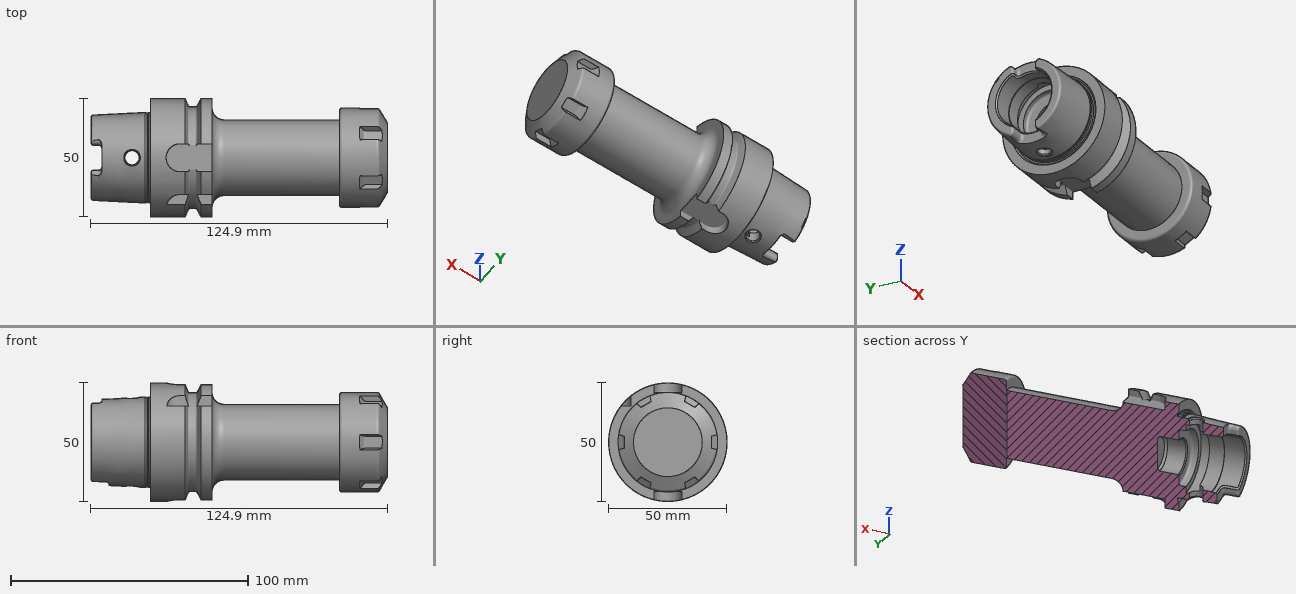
import cadquery as cq
import math


shank_length = 25.0
gauge_radius = 19.1
taper_slope = 0.05
tip_edge_radius = 1.0

relief_start = -2.2
relief_bottom_start = -1.5
relief_bottom_end = -1.1
relief_end = -0.5
relief_drop = 0.2
face_recess_depth = 0.7
face_recess_radius = 20.6

mouth_radius = 13.2
mouth_length = 10.0
mouth_chamfer = 0.6
bore_radius = 13.0
bore_depth = 25.0
clamp_groove_radius = 15.7
clamp_groove_start = 16.9
clamp_groove_end = 21.9
bore_floor_fillet = 1.1
thread_radius = 8.0
thread_depth = 10.0
thread_chamfer = 0.5
thread_floor_chamfer = 1.0

cross_hole_x = -7.7
cross_hole_radius = 3.0
cross_hole_chamfer = 0.5

drive_half_width = 5.2
upper_drive_depth = 4.5
lower_drive_depth = 7.5
drive_floor_fillet = 1.4
drive_flare_radius = 2.0

flange_radius = 25.0
flange_length = 26.0
groove_bottom_radius = 21.5
groove_top_start = 14.6
groove_bottom_start = 16.1
groove_bottom_end = 19.5
groove_top_end = 21.4
groove_root_fillet = 0.6

keyway_width = 11.7
keyway_floor_fillet = 0.4
keyway_start = 6.6
keyway_floor = 20.9
notch_wall = 15.5
notch_floor = 15.2

neck_radius = 16.0
neck_fillet = 5.0

nut_start = 79.5
nut_end = 99.9
nut_radius = 21.0
nut_rear_fillet = 1.2
nut_cone_length = 3.7
nut_cone_angle = 60.0
nut_front_fillet = 1.4

spanner_slot_count = 6
spanner_slot_start = 88.0
spanner_floor_radius = 18.4
spanner_floor_half_width = 2.5
spanner_mouth_half_width = 3.2
spanner_back_angle = 50.0
spanner_back_fillet = 1.5

clearance = 6.2
margin = 0.1


def taper_radius(x):
    """Radius of the shank taper at an axial position."""
    return gauge_radius + taper_slope * (x - relief_start)


def turned(profile):
    """Revolve a closed half profile about the X axis."""
    return profile.close().revolve(360, (0, 0, 0), (1, 0, 0))


def axial_band(start, end, radius):
    """Selector of the edges that lie wholly between two axial positions and within a radius."""
    reach = radius + margin
    return cq.selectors.BoxSelector(
        (start - margin, -reach, -reach), (end + margin, reach, reach), boundingbox=True
    )


def turned_blank():
    """Outer shape of the holder as one turned solid, without any bore or slot."""
    tip = -shank_length
    relief_radius = gauge_radius - relief_drop
    profile = (
        cq.Workplane("XY")
        .moveTo(tip, 0)
        .lineTo(tip, taper_radius(tip))
        .lineTo(relief_start, gauge_radius)
        .lineTo(relief_bottom_start, relief_radius)
        .lineTo(relief_bottom_end, relief_radius)
        .lineTo(relief_end, gauge_radius)
        .lineTo(face_recess_depth, gauge_radius)
        .lineTo(face_recess_depth, face_recess_radius - face_recess_depth)
        .lineTo(0, face_recess_radius)
        .lineTo(0, flange_radius)
        .lineTo(groove_top_start, flange_radius)
        .lineTo(groove_bottom_start, groove_bottom_radius)
        .lineTo(groove_bottom_end, groove_bottom_radius)
        .lineTo(groove_top_end, flange_radius)
        .lineTo(flange_length, flange_radius)
        .lineTo(flange_length, neck_radius + neck_fillet)
        .radiusArc((flange_length + neck_fillet, neck_radius), -neck_fillet)
        .lineTo(nut_start, neck_radius)
        .lineTo(nut_start, 0)
    )
    groove_roots = axial_band(groove_bottom_start, groove_bottom_end, groove_bottom_radius)
    return turned(profile).edges(groove_roots).fillet(groove_root_fillet)


def shank_bore():
    """Stepped bore of the shank with the blind threaded hole in its floor."""
    tip = -shank_length
    floor = tip + bore_depth
    thread_floor = floor + thread_depth
    profile = (
        cq.Workplane("XY")
        .moveTo(tip, 0)
        .lineTo(tip, mouth_radius)
        .lineTo(tip + mouth_length, mouth_radius)
        .lineTo(tip + mouth_length, bore_radius)
        .lineTo(tip + clamp_groove_start, bore_radius)
        .lineTo(tip + clamp_groove_start, clamp_groove_radius)
        .lineTo(tip + clamp_groove_end, clamp_groove_radius)
        .lineTo(tip + clamp_groove_end, bore_radius)
        .lineTo(floor - bore_floor_fillet, bore_radius)
        .radiusArc((floor, bore_radius - bore_floor_fillet), bore_floor_fillet)
        .lineTo(floor, thread_radius + thread_chamfer)
        .lineTo(floor + thread_chamfer, thread_radius)
        .lineTo(thread_floor - thread_floor_chamfer, thread_radius)
        .lineTo(thread_floor, thread_radius - thread_floor_chamfer)
        .lineTo(thread_floor, 0)
    )
    return turned(profile)


def cross_hole():
    """Through hole across the shank along Z, chamfered at both mouths."""
    surface = taper_radius(cross_hole_x)
    rim_radius = cross_hole_radius + cross_hole_chamfer
    rim_height = math.sqrt(surface**2 - rim_radius**2)
    profile = (
        cq.Workplane("XZ")
        .lineTo(cross_hole_radius, 0)
        .lineTo(cross_hole_radius, rim_height - cross_hole_chamfer)
        .lineTo(rim_radius, rim_height)
        .lineTo(rim_radius, surface + clearance)
        .lineTo(0, surface + clearance)
        .close()
    )
    half = profile.revolve(360, (0, 0, 0), (0, 1, 0))
    return half.union(half.mirror("XY")).translate((cross_hole_x, 0, 0))


def drive_slot(depth):
    """Cutter for a slot in the +Z side of the shank tip: walls flared outside, floor corners rounded."""
    rim = taper_radius(depth - shank_length)
    flare_y = drive_half_width + drive_flare_radius
    flare_z = math.sqrt((rim - drive_flare_radius) ** 2 - flare_y**2)
    to_rim = rim / (rim - drive_flare_radius)
    rim_y = flare_y * to_rim
    rim_z = flare_z * to_rim
    top = rim + clearance
    tip = -shank_length

    outline = (
        cq.Workplane("YZ", origin=(tip, 0, 0))
        .moveTo(-drive_half_width, 0)
        .lineTo(-drive_half_width, flare_z)
        .radiusArc((-rim_y, rim_z), -drive_flare_radius)
        .lineTo(-rim_y, top)
        .lineTo(rim_y, top)
        .lineTo(rim_y, rim_z)
        .radiusArc((drive_half_width, flare_z), -drive_flare_radius)
        .lineTo(drive_half_width, 0)
        .close()
    )
    floor_edges = cq.selectors.BoxSelector(
        (tip + depth - margin, -rim_y - margin, margin),
        (tip + depth + margin, rim_y + margin, rim_z + margin),
    )
    return outline.extrude(depth).faces(">X").edges(floor_edges).fillet(drive_floor_fillet)


def keyway():
    """Cutter for a round-ended keyway with its floor at Z = 0, open towards +X."""
    radius = keyway_width / 2
    length = flange_length + radius + clearance - keyway_start
    slot = cq.Workplane("XY").center(keyway_start + length / 2, 0).slot2D(length, keyway_width)
    return slot.extrude(flange_radius).faces("<Z").edges().fillet(keyway_floor_fillet)


def mouth_edges(bored):
    """Edges where the bore meets the tip face and the walls and floors of the drive slots."""
    deepest = lower_drive_depth - shank_length

    def on_mouth(edge):
        points = [edge.positionAt(share) for share in (0, 0.5, 1)]
        return all(
            abs(math.hypot(point.y, point.z) - mouth_radius) < margin and point.x < deepest + margin
            for point in points
        )

    return [edge for edge in bored.edges().vals() if on_mouth(edge)]


def make_holder():
    """Shank, flange and neck as one body; the neck ends at the rear face of the nut."""
    holder = turned_blank()
    upper = drive_slot(upper_drive_depth)
    lower = drive_slot(lower_drive_depth).rotate((0, 0, 0), (1, 0, 0), 180)
    key = keyway().translate((0, 0, keyway_floor))
    notch_y = -notch_wall - keyway_width / 2
    slotted = holder.cut(upper).cut(lower)
    rounded = slotted.faces("<X").edges().fillet(tip_edge_radius)
    bored = rounded.cut(shank_bore())
    chamfered = bored.newObject(mouth_edges(bored)).chamfer(mouth_chamfer)
    return (
        chamfered.cut(cross_hole())
        .cut(key)
        .cut(key.mirror("XY"))
        .cut(keyway().translate((0, notch_y, notch_floor)))
    )


def spanner_slot():
    """Cutter for a slot in the -Y side of the nut: drafted side walls and a sloped, filleted back."""
    depth = nut_radius + clearance - spanner_floor_radius
    back = math.radians(spanner_back_angle)
    mouth_x = spanner_slot_start - clearance / math.tan(back)
    floor_x = mouth_x + depth / math.tan(back)
    side = (
        cq.Workplane("XY")
        .moveTo(mouth_x, -spanner_floor_radius - depth)
        .lineTo(floor_x, -spanner_floor_radius)
        .lineTo(nut_end + clearance, -spanner_floor_radius)
        .lineTo(nut_end + clearance, -spanner_floor_radius - depth)
        .close()
        .extrude(nut_radius, both=True)
        .edges(cq.selectors.NearestToPointSelector((floor_x, -spanner_floor_radius, 0)))
        .fillet(spanner_back_fillet)
    )
    draft = (spanner_mouth_half_width - spanner_floor_half_width) / (nut_radius - spanner_floor_radius)
    outer_half_width = spanner_floor_half_width + draft * depth
    section = (
        cq.Workplane("YZ", origin=(mouth_x, 0, 0))
        .moveTo(-spanner_floor_radius, -spanner_floor_half_width)
        .lineTo(-spanner_floor_radius, spanner_floor_half_width)
        .lineTo(-spanner_floor_radius - depth, outer_half_width)
        .lineTo(-spanner_floor_radius - depth, -outer_half_width)
        .close()
        .extrude(nut_end + clearance - mouth_x)
    )
    return side.intersect(section)


def make_nut():
    """Clamping nut, seated on the end of the neck."""
    cone_drop = nut_cone_length * math.tan(math.radians(nut_cone_angle))
    nut = turned(
        cq.Workplane("XY")
        .moveTo(nut_start, 0)
        .lineTo(nut_start, nut_radius)
        .lineTo(nut_end - nut_cone_length, nut_radius)
        .lineTo(nut_end, nut_radius - cone_drop)
        .lineTo(nut_end, 0)
    )
    nut = nut.faces("<X").edges().fillet(nut_rear_fillet)
    shoulder = nut_end - nut_cone_length
    nut = nut.edges(axial_band(shoulder, shoulder, nut_radius)).fillet(nut_front_fillet)
    slot = spanner_slot()
    for index in range(spanner_slot_count):
        nut = nut.cut(slot.rotate((0, 0, 0), (1, 0, 0), index * 360 / spanner_slot_count))
    return nut


holder = make_holder()
nut = make_nut()

result = cq.Compound.makeCompound([holder.val(), nut.val()])